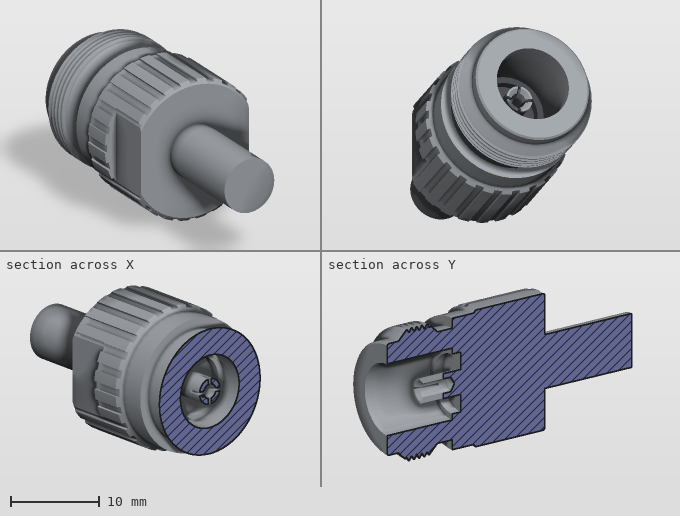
import cadquery as cq
import math

total_length = 33.9
thread_front = 1.6
thread_back = 7.0
collar_front = 9.02
grip_front = 12.0
flat_front = 16.35
grip_back = 21.85

neck_radius = 6.7
thread_radius = 7.93
collar_radius = 7.9
grip_radius = 8.5
tail_radius = 3.25

mouth_chamfer = 0.2
grip_front_chamfer = grip_radius - collar_radius
grip_back_chamfer = 0.5

thread_pitch = 0.7
thread_depth = 0.5
thread_turns = 8
thread_start = 1.3
flank_half_angle = 30.0
cutter_overlap = 0.07
sleeve_bore_radius = 5.1

slot_count = 24
slot_width = 0.95
slot_depth = 0.3
flat_distance = 7.05

mouth_radius = 4.27
mouth_depth = 9.0
inner_radius = 3.55
inner_depth = 10.17

contact_radius = 1.53
contact_front = 4.75
contact_lead_in_radius = 1.3
contact_hole_radius = 0.85
contact_hole_depth = 4.07
drill_point_depth = 0.5
contact_slit_width = 0.37
contact_slit_depth = 3.05


def revolve_about_x(points):
    """Revolve a closed (x, radius) outline about the X axis."""
    return cq.Workplane("XY").polyline(points).close().revolve(360, (0, 0, 0), (1, 0, 0))


def make_body():
    """Plain turned outline from the mating face to the end of the cable tail."""
    return revolve_about_x([
        (0, 0),
        (0, neck_radius - mouth_chamfer),
        (mouth_chamfer, neck_radius),
        (collar_front, neck_radius),
        (collar_front, collar_radius),
        (grip_front, collar_radius),
        (grip_front + grip_front_chamfer, grip_radius),
        (grip_back - grip_back_chamfer, grip_radius),
        (grip_back, grip_radius - grip_back_chamfer),
        (grip_back, tail_radius),
        (total_length, tail_radius),
        (total_length, 0),
    ])


def make_thread_groove():
    """Right-hand V groove, wound about Z and then laid along X."""
    root_radius = thread_radius - thread_depth
    cutter_radius = thread_radius + cutter_overlap
    half_width = (cutter_radius - root_radius) * math.tan(math.radians(flank_half_angle))
    helix = cq.Wire.makeHelix(thread_pitch, thread_turns * thread_pitch, root_radius)
    groove = (
        cq.Workplane("XZ")
        .polyline([(root_radius, 0), (cutter_radius, half_width), (cutter_radius, -half_width)])
        .close()
        .sweep(cq.Workplane(helix), isFrenet=True)
    )
    return groove.rotate((0, 0, 0), (0, 1, 0), 90).translate((thread_start, 0, 0))


def make_thread():
    """Threaded sleeve around the neck, bevelled at 45 degrees down to the neck at both ends."""
    groove_length = thread_turns * thread_pitch
    blank = (
        cq.Workplane("YZ")
        .workplane(offset=thread_start - thread_pitch)
        .circle(thread_radius)
        .circle(sleeve_bore_radius)
        .extrude(groove_length + 2 * thread_pitch)
    )
    bevel_rise = thread_radius + cutter_overlap - neck_radius
    envelope = revolve_about_x([
        (thread_front, sleeve_bore_radius),
        (thread_front, neck_radius),
        (thread_front + bevel_rise, neck_radius + bevel_rise),
        (thread_back - bevel_rise, neck_radius + bevel_rise),
        (thread_back, neck_radius),
        (thread_back, sleeve_bore_radius),
    ])
    return blank.cut(make_thread_groove()).intersect(envelope)


def make_grip_slots():
    """Straight slots around the grip, cut to one floor radius and open at both chamfers."""
    floor_radius = grip_radius - slot_depth
    grip_length = grip_back - grip_front
    slot = cq.Workplane("XY").box(
        grip_length, slot_width, 2 * slot_depth, centered=(False, True, False)
    ).translate((grip_front, 0, floor_radius))
    slots = cq.Workplane("XY")
    for index in range(slot_count):
        slots = slots.add(slot.rotate((0, 0, 0), (1, 0, 0), index * 360 / slot_count))
    return slots.combine()


def make_wrench_flats():
    """Two opposite blocks that leave flats on the rear of the grip."""
    flat_length = grip_back - flat_front
    block = cq.Workplane("XY").box(
        flat_length, grip_radius, 2 * grip_radius, centered=(False, False, True)
    ).translate((flat_front, flat_distance, 0))
    return block.union(block.mirror("XZ"))


def make_socket():
    """Stepped bore open at the mating face."""
    return revolve_about_x([
        (0, 0),
        (0, mouth_radius),
        (mouth_depth, mouth_radius),
        (mouth_depth, inner_radius),
        (inner_depth, inner_radius),
        (inner_depth, 0),
    ])


def make_contact():
    """Slit tube standing on the socket floor, with a lead-in cone and a drilled hole."""
    lead_in = contact_lead_in_radius - contact_hole_radius
    hole_end = contact_front + contact_hole_depth
    tube = revolve_about_x([
        (contact_front, contact_radius),
        (contact_front, contact_lead_in_radius),
        (contact_front + lead_in, contact_hole_radius),
        (hole_end, contact_hole_radius),
        (hole_end + drill_point_depth, 0),
        (inner_depth, 0),
        (inner_depth, contact_radius),
    ])
    slit = cq.Workplane("XY").box(
        contact_slit_depth, 2 * contact_radius, contact_slit_width, centered=(False, True, True)
    ).translate((contact_front, 0, 0))
    return tube.cut(slit).cut(slit.rotate((0, 0, 0), (1, 0, 0), 90))


result = (
    make_body()
    .union(make_thread())
    .cut(make_grip_slots())
    .cut(make_wrench_flats())
    .cut(make_socket())
    .union(make_contact())
)